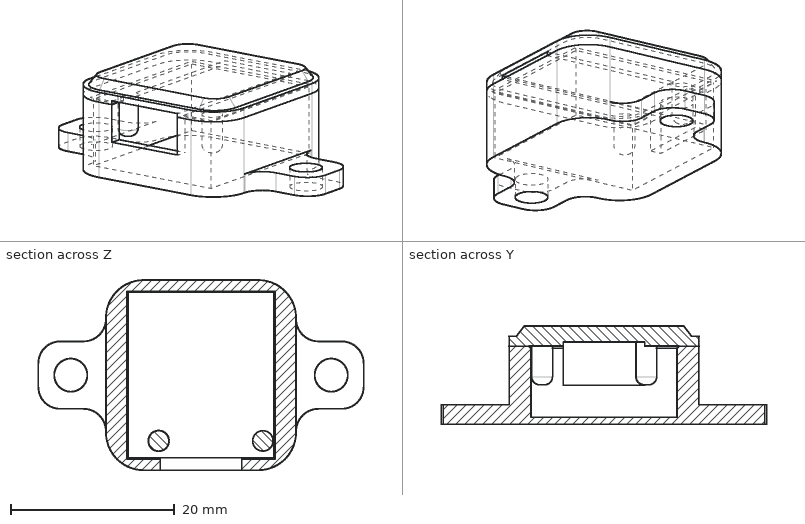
import cadquery as cq
import math

BODY_SIDE = 23.27
CORNER_RADIUS = 4.65
JOINT_Z = 9.55
LEDGE_Z = 10.8
TOP_Z = 12.0

PANEL_INSET = 0.9
PANEL_RADIUS = 3.2
BEVEL_RUN = 0.95

TAB_SPAN = 39.78
TAB_WIDTH = 8.27
TAB_HEIGHT = 2.4
TAB_RADIUS = 2.7
TAB_HOLE_DIAMETER = 4.0
TAB_HOLE_SPACING = 31.82

CAVITY_WIDTH = 17.82
END_WALL = 1.5
FLOOR_THICKNESS = 0.88
RIM_BEVEL = 0.25
CAVITY_DEPTH = BODY_SIDE - 2 * END_WALL

WINDOW_WIDTH = 9.9
SILL_Z = 4.77
SLOT_TOP_Z = 10.02

PIN_DIAMETER = 2.55
PIN_END_Z = 4.8
PIN_END_RADIUS = 1.0
PIN_XS = (-5.17, 7.55)
PIN_Y = -8.05


def rounded_block(side, radius, bottom, top):
    return (
        cq.Workplane("XY", origin=(0, 0, bottom))
        .rect(side, side)
        .extrude(top - bottom)
        .edges("|Z")
        .fillet(radius)
    )


def box_between(width, y_start, y_end, bottom, top):
    """Box centred on X = 0."""
    return (
        cq.Workplane("XY", origin=(0, (y_start + y_end) / 2, bottom))
        .rect(width, y_end - y_start)
        .extrude(top - bottom)
    )


def mounting_tabs():
    """Both tabs as one bar through the body, flared where it meets the body sides."""
    bar = (
        cq.Workplane("XY")
        .rect(TAB_SPAN, TAB_WIDTH)
        .extrude(TAB_HEIGHT)
        .edges("|Z")
        .fillet(TAB_RADIUS)
    )
    root_width = TAB_WIDTH + 2 * TAB_RADIUS
    flare_span = BODY_SIDE + 2 * TAB_RADIUS
    flare = cq.Workplane("XY").rect(flare_span, root_width).extrude(TAB_HEIGHT)
    flare_cutters = (
        cq.Workplane("XY")
        .rect(flare_span, root_width, forConstruction=True)
        .vertices()
        .circle(TAB_RADIUS)
        .extrude(TAB_HEIGHT)
    )
    return bar.union(flare.cut(flare_cutters))


def tab_holes():
    return (
        cq.Workplane("XY")
        .pushPoints([(-TAB_HOLE_SPACING / 2, 0), (TAB_HOLE_SPACING / 2, 0)])
        .circle(TAB_HOLE_DIAMETER / 2)
        .extrude(TAB_HEIGHT)
    )


def cavity():
    return box_between(CAVITY_WIDTH, -CAVITY_DEPTH / 2, CAVITY_DEPTH / 2, FLOOR_THICKNESS, JOINT_Z)


def rim_bevel():
    """Flares the top of the cavity outwards by the bevel size on every side."""
    return (
        cq.Workplane("XY", origin=(0, 0, JOINT_Z - RIM_BEVEL))
        .rect(CAVITY_WIDTH, CAVITY_DEPTH)
        .workplane(offset=RIM_BEVEL)
        .rect(CAVITY_WIDTH + 2 * RIM_BEVEL, CAVITY_DEPTH + 2 * RIM_BEVEL)
        .loft(ruled=True)
    )


def build_housing():
    window = box_between(WINDOW_WIDTH, -BODY_SIDE / 2, 0, SILL_Z, JOINT_Z)
    return (
        rounded_block(BODY_SIDE, CORNER_RADIUS, 0, JOINT_Z)
        .union(mounting_tabs())
        .cut(tab_holes())
        .cut(cavity())
        .cut(rim_bevel())
        .cut(window)
    )


def lid_panel():
    """Panel whose sides lean inwards over its whole height."""
    side = BODY_SIDE - 2 * PANEL_INSET
    height = TOP_Z - LEDGE_Z
    outline = cq.Sketch().rect(side, side).vertices().fillet(PANEL_RADIUS)
    bevel_angle = math.degrees(math.atan2(BEVEL_RUN, height))
    return cq.Workplane("XY", origin=(0, 0, LEDGE_Z)).placeSketch(outline).extrude(height, taper=bevel_angle)


def lid_pins():
    return (
        cq.Workplane("XY", origin=(0, 0, PIN_END_Z))
        .pushPoints([(x, PIN_Y) for x in PIN_XS])
        .circle(PIN_DIAMETER / 2)
        .extrude(LEDGE_Z - PIN_END_Z)
        .faces("<Z")
        .edges()
        .fillet(PIN_END_RADIUS)
    )


def build_lid():
    slot = box_between(WINDOW_WIDTH, -BODY_SIDE / 2, BODY_SIDE / 2, JOINT_Z, SLOT_TOP_Z)
    return (
        rounded_block(BODY_SIDE, CORNER_RADIUS, JOINT_Z, LEDGE_Z)
        .union(lid_panel())
        .cut(slot)
        .union(lid_pins())
    )


housing = build_housing()
lid = build_lid()

result = cq.Compound.makeCompound([housing.val(), lid.val()])